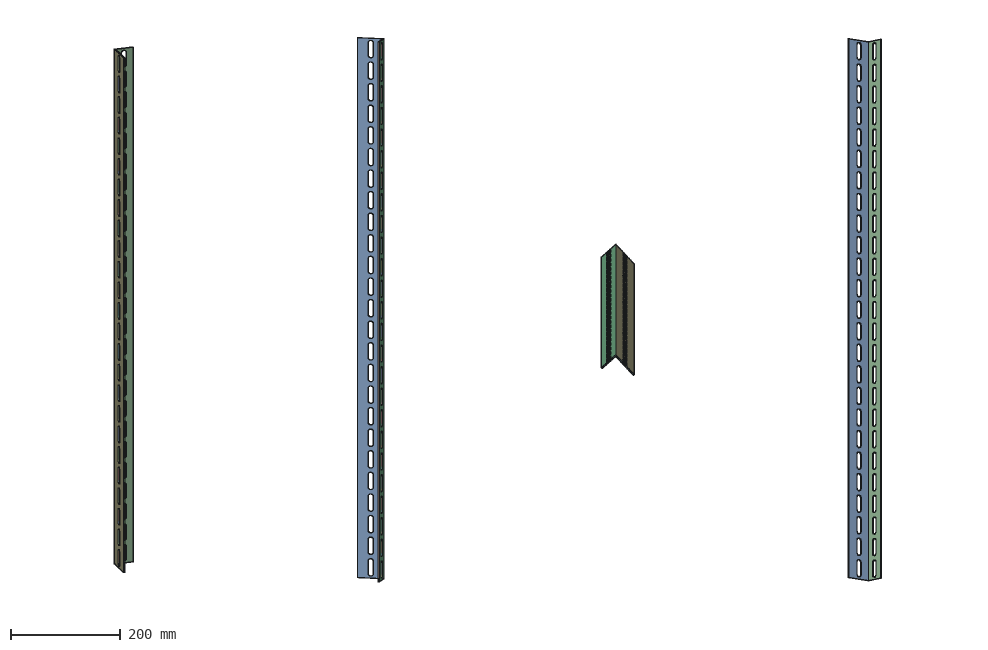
import cadquery as cq

length = 1000.0
width_x = 50.0
width_y = 36.0
thickness = 2.5

slot_count = 25
slot_pitch = length / slot_count
slot_length = 32.0
slot_width = 10.0


def angle_profile():
    """Sharp-cornered L-shaped bar with its corner on the Z axis and its legs along +X and +Y."""
    leg_along_x = cq.Workplane("XY").box(width_x, thickness, length, centered=False)
    leg_along_y = cq.Workplane("XY").box(thickness, width_y, length, centered=False)
    return leg_along_x.union(leg_along_y)


def slot_row(plane, leg_width):
    """Cutters for the round-ended slots of one leg, reaching through its thickness."""
    first_center = slot_pitch / 2
    centers = [(leg_width / 2, first_center + i * slot_pitch) for i in range(slot_count)]
    return (
        cq.Workplane(plane)
        .pushPoints(centers)
        .slot2D(slot_length, slot_width, 90)
        .extrude(2 * thickness, both=True)
    )


result = (
    angle_profile()
    .cut(slot_row("XZ", width_x))
    .cut(slot_row("YZ", width_y))
)